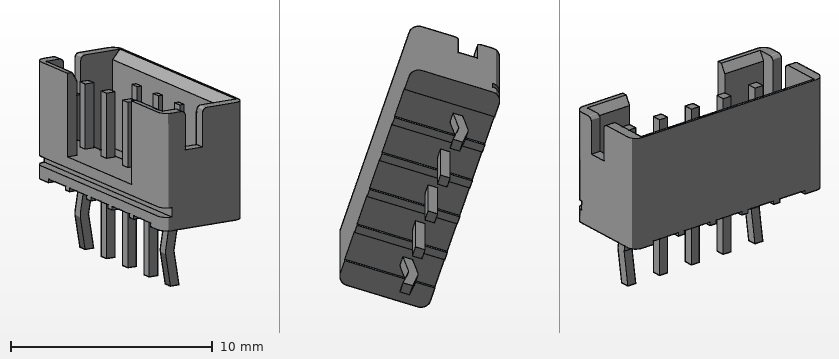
import cadquery as cq
import math


length = 12.0
depth = 4.7
height = 6.05
corner_radius = 0.5

wall = 0.55
lead_in_height = 0.48
front_lead_in = 0.28
back_lead_in = 0.42
front_floor_z = height - 4.3
back_floor_z = height - 5.0
floor_slope_front_y = 2.09
floor_slope_back_y = 2.64

front_opening_width = 6.0
side_slot_front_y = 1.3
side_slot_width = 1.0
side_slot_depth = 2.0
side_slot_rounding = 0.25

groove_bottom_z = 0.71
groove_height = 0.48
groove_depth = corner_radius
relief_height = 0.19
relief_span = 9.56
foot_width = 0.4

pin_count = 5
pitch = 2.0
pin_size = 0.5
pin_front_y = 1.5
pin_top_z = height - 0.95
pin_tail = 3.41
bend_offset = 0.3
bend_radius = 1.0
rib_count = pin_count - 1
rib_depth = 0.24
rib_top_z = height - 1.2


def box(x_range, y_range, z_range):
    """Axis-aligned block given by its limits along each axis."""
    size = [high - low for low, high in (x_range, y_range, z_range)]
    corner = (x_range[0], y_range[0], z_range[0])
    return cq.Workplane("XY").box(*size, centered=False).translate(corner)


def extrude_along_x(outline, width, center_x=0):
    """Extrude a closed (Y, Z) outline by a width centred on center_x."""
    profile = cq.Workplane("YZ").polyline(outline).close()
    return profile.extrude(width / 2, both=True).translate((center_x, 0, 0))


def row_positions(count):
    """X positions of a centred row at the pin pitch."""
    return [(i - (count - 1) / 2) * pitch for i in range(count)]


def around(center, width):
    """Limits of a span of the given width about its center."""
    return (center - width / 2, center + width / 2)


def housing_block():
    block = box(around(0, length), (0, depth), (0, height))
    return block.edges("|Z").fillet(corner_radius)


def cavity():
    """Stepped-floor cavity with sloped lead-ins on the front and back walls."""
    back_y = depth - wall
    lead_in_z = height - lead_in_height
    outline = [
        (wall, front_floor_z),
        (floor_slope_front_y, front_floor_z),
        (floor_slope_back_y, back_floor_z),
        (back_y, back_floor_z),
        (back_y, lead_in_z),
        (back_y + back_lead_in, height),
        (wall - front_lead_in, height),
        (wall, lead_in_z),
    ]
    return extrude_along_x(outline, length - 2 * wall)


def front_opening():
    return box(around(0, front_opening_width), (0, wall), (front_floor_z, height))


def side_slots():
    """Slot through both end walls, flaring out to the top in rounded edges."""
    front_y = side_slot_front_y
    back_y = front_y + side_slot_width
    r = side_slot_rounding
    tangent_z = height - r
    arc_reach = r * (1 - math.sqrt(0.5))
    profile = (
        cq.Workplane("YZ")
        .moveTo(front_y, height - side_slot_depth)
        .lineTo(back_y, height - side_slot_depth)
        .lineTo(back_y, tangent_z)
        .threePointArc((back_y + arc_reach, height - arc_reach), (back_y + r, height))
        .lineTo(front_y - r, height)
        .threePointArc((front_y - arc_reach, height - arc_reach), (front_y, tangent_z))
        .close()
    )
    return profile.extrude(length / 2, both=True)


def front_groove():
    return box(
        around(0, length),
        (0, groove_depth),
        (groove_bottom_z, groove_bottom_z + groove_height),
    )


def underside_relief():
    """Shallow relief under the housing, interrupted by a foot between neighbouring pins."""
    relief = box(around(0, relief_span), (0, depth), (0, relief_height))
    for x in row_positions(pin_count - 1):
        relief = relief.cut(box(around(x, foot_width), (0, depth), (0, relief_height)))
    return relief


def back_rib(x):
    back_y = depth - wall
    return box(around(x, pin_size), (back_y - rib_depth, back_y), (back_floor_z, rib_top_z))


def straight_pin(x, bottom_z):
    return box(around(x, pin_size), (pin_front_y, pin_front_y + pin_size), (bottom_z, pin_top_z))


def kinked_tail(x):
    """Tail of an end pin, bent toward the front at mid-length and rounded outside the bend."""
    back_y = pin_front_y + pin_size
    bend_z = (relief_height - pin_tail) / 2
    outline = [
        (pin_front_y, relief_height),
        (pin_front_y - bend_offset, bend_z),
        (pin_front_y, -pin_tail),
        (back_y, -pin_tail),
        (back_y - bend_offset, bend_z),
        (back_y, relief_height),
    ]
    return extrude_along_x(outline, pin_size, x).edges("|X and <Y").fillet(bend_radius)


result = housing_block()
for opening in (cavity(), front_opening(), side_slots(), front_groove(), underside_relief()):
    result = result.cut(opening)

for rib_x in row_positions(rib_count):
    result = result.union(back_rib(rib_x))

pin_positions = row_positions(pin_count)
for pin_x in pin_positions[1:-1]:
    result = result.union(straight_pin(pin_x, -pin_tail))
for pin_x in (pin_positions[0], pin_positions[-1]):
    result = result.union(straight_pin(pin_x, relief_height))
    result = result.union(kinked_tail(pin_x))